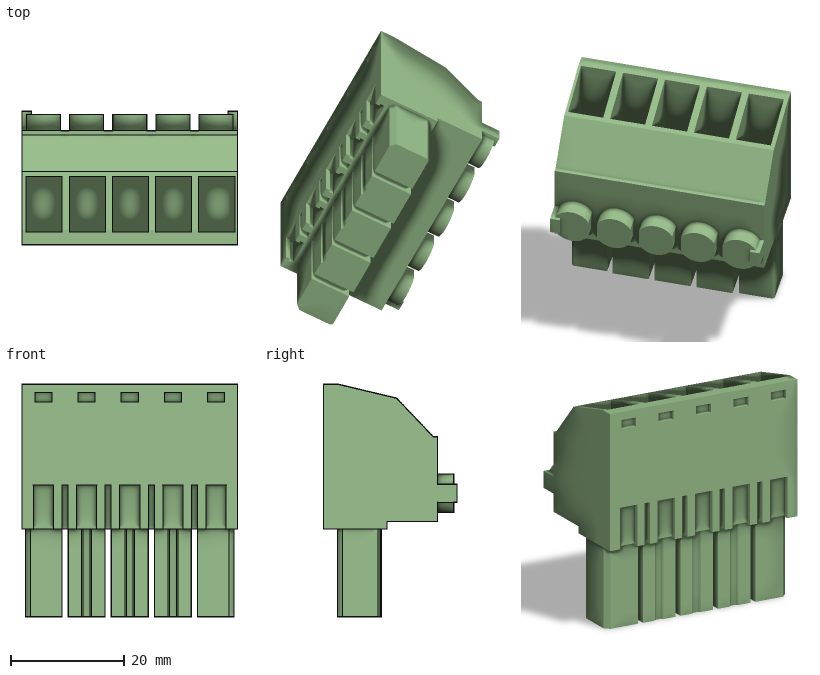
import cadquery as cq


poles = 5
housing_length = 38.1
pitch = housing_length / poles
total_depth = 23.6
total_height = 41.15

leg_height = 15.5
rear_bottom_rise = 1.3
rear_bottom_z = leg_height + rear_bottom_rise
step_y = 11.28
rear_y = 20.15
rear_top_z = 31.85
ledge_y = 19.42
ridge_y = 12.92
ridge_z = 38.7
flat_top_y = 2.55

opening_width = 6.38
opening_shift = 0.12
opening_front_y = 2.25
opening_rear_y = 12.05

window_width = 3.0
window_height = 1.7
window_top_gap = 1.52
window_depth = 1.0
window_z = total_height - window_top_gap - window_height

slot_height = 7.78
slot_depth = 1.6
wide_slot_width = 3.55
slot_lip = 0.8
undercut = 0.35

leg_gap = 1.05
end_inset = 0.6
leg_front_y = 2.45
inner_leg_rear_y = 10.25
end_leg_rear_y = 9.95
end_leg_front_chamfer = 0.9
end_leg_rear_chamfer = 0.33
groove_mouth = 1.73
groove_floor = 1.2
groove_depth = 0.33

screw_radius = 3.4
screw_width = 6.05
screw_rear_y = 23.05
screw_z = 21.85
tab_length = 1.73
tab_height = 3.2

opening_floor_z = screw_z + screw_radius

pole_positions = [(i - (poles - 1) / 2) * pitch for i in range(poles)]
gap_positions = [x + pitch / 2 for x in pole_positions[:-1]]


def block(x_min, x_max, y_min, y_max, z_min, z_max):
    """Box between the given limits."""
    size = (x_max - x_min, y_max - y_min, z_max - z_min)
    return cq.Workplane("XY").box(*size, centered=False).translate((x_min, y_min, z_min))


def centred_block(x, width, y_min, y_max, z_min, z_max):
    """Box centred on x along the row."""
    return block(x - width / 2, x + width / 2, y_min, y_max, z_min, z_max)


def make_screw(x):
    """Round screw head on the rear face, with flats on its two sides."""
    head = (
        cq.Workplane("XZ", origin=(x, rear_y, screw_z))
        .circle(screw_radius)
        .extrude(-(screw_rear_y - rear_y))
    )
    flats = centred_block(
        x, screw_width, rear_y, screw_rear_y, screw_z - screw_radius, screw_z + screw_radius
    )
    return head.intersect(flats)


def make_shell():
    """Housing body, from its side profile in YZ."""
    profile = [
        (0, leg_height),
        (step_y, leg_height),
        (step_y, rear_bottom_z),
        (rear_y, rear_bottom_z),
        (rear_y, rear_top_z),
        (ledge_y, rear_top_z),
        (ridge_y, ridge_z),
        (flat_top_y, total_height),
        (0, total_height),
    ]
    return (
        cq.Workplane("YZ", origin=(-housing_length / 2, 0, 0))
        .polyline(profile)
        .close()
        .extrude(housing_length)
    )


def make_inner_leg(x):
    """Leg with a tapered groove down the middle of its front."""
    width = pitch - leg_gap
    groove_y = leg_front_y + groove_depth
    outline = [
        (-width / 2, inner_leg_rear_y),
        (-width / 2, leg_front_y),
        (-groove_mouth / 2, leg_front_y),
        (-groove_floor / 2, groove_y),
        (groove_floor / 2, groove_y),
        (groove_mouth / 2, leg_front_y),
        (width / 2, leg_front_y),
        (width / 2, inner_leg_rear_y),
    ]
    return cq.Workplane("XY", origin=(x, 0, 0)).polyline(outline).close().extrude(leg_height)


def make_left_end_leg():
    """Leg at the -X end, with its two outer corners chamfered."""
    outer_x = -housing_length / 2 + end_inset
    inner_x = gap_positions[0] - leg_gap / 2
    leg = block(outer_x, inner_x, leg_front_y, end_leg_rear_y, 0, leg_height)
    leg = leg.edges("|Z and <X and <Y").chamfer(end_leg_front_chamfer)
    return leg.edges("|Z and <X and >Y").chamfer(end_leg_rear_chamfer)


def make_left_tab():
    """Tab at the -X end of the rear face."""
    end_x = -housing_length / 2
    return block(
        end_x, end_x + tab_length, rear_y, total_depth, screw_z - tab_height / 2, screw_z + tab_height / 2
    )


def make_slot(x, width, front_y):
    """Cutter for a slot that is open at the bottom of the shell."""
    return centred_block(x, width, front_y, slot_depth, leg_height, leg_height + slot_height)


def make_wide_slot(x):
    """Cutter for a T-shaped slot, wider behind its two front lips."""
    mouth = make_slot(x, wide_slot_width, 0)
    return mouth.union(make_slot(x, wide_slot_width + 2 * undercut, slot_lip))


def make_housing(screw_heads):
    """Housing with legs and tabs; the tabs are recessed to clear the screws."""
    housing = make_shell()

    for x in pole_positions:
        opening_x = x + opening_shift
        housing = housing.cut(
            centred_block(
                opening_x, opening_width, opening_front_y, opening_rear_y, opening_floor_z, total_height
            )
        )
        housing = housing.cut(
            centred_block(x, window_width, 0, window_depth, window_z, window_z + window_height)
        )

    for x in pole_positions:
        housing = housing.cut(make_wide_slot(x))
    for x in gap_positions:
        housing = housing.cut(make_slot(x, leg_gap, 0))

    for x in pole_positions[1:-1]:
        housing = housing.union(make_inner_leg(x))
    for end_part in (make_left_end_leg(), make_left_tab()):
        housing = housing.union(end_part).union(end_part.mirror("YZ"))

    for head in screw_heads:
        housing = housing.cut(head)
    return housing


screws = [make_screw(x) for x in pole_positions]
housing = make_housing(screws)

result = cq.Compound.makeCompound([housing.val(), *[screw.val() for screw in screws]])